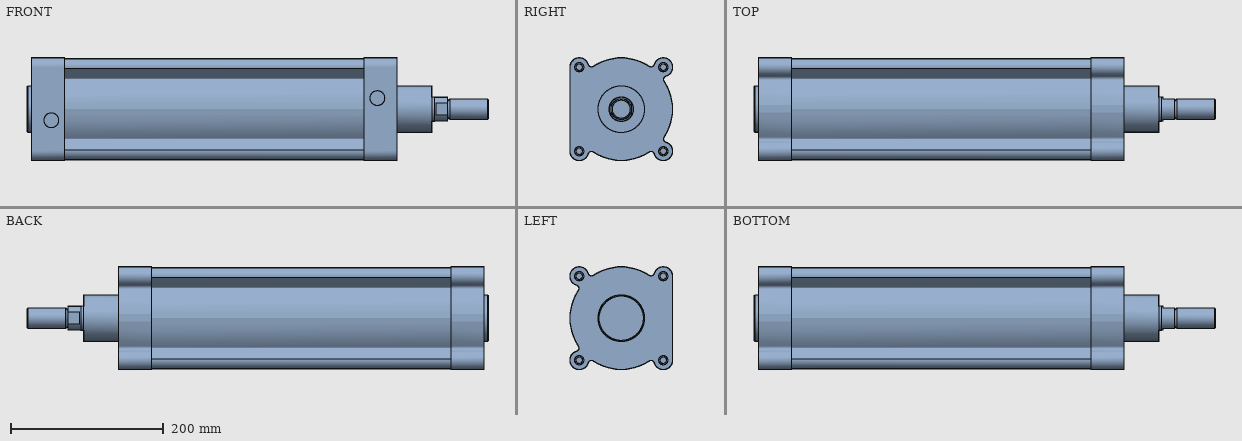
import cadquery as cq
import math


rear_boss_length = 6.0
cap_length = 43.5
barrel_length = 392.0
front_boss_length = 45.5
total_length = 605.0
rear_cap_x = rear_boss_length
barrel_x = rear_cap_x + cap_length
front_cap_x = barrel_x + barrel_length
front_boss_x = front_cap_x + cap_length

corner_offset = 55.0
corner_angles = (45, 135, 225, 315)
corner_distance = corner_offset * math.sqrt(2)
corner_points = [(sy * corner_offset, sz * corner_offset) for sy in (-1, 1) for sz in (-1, 1)]

cap_width = 135.0
cap_half_width = cap_width / 2
cap_radius = 67.0
lug_radius = cap_half_width - corner_offset
lug_fillet = 4.0
pad_base_half_width = 10.0
pad_top_half_width = 5.0
pad_angles = (-90, 0, 180)
boss_radius = 61.0 / 2
rear_boss_chamfer = 1.5
screw_hole_radius = 4.0
screw_recess_radius = 6.0
screw_recess_depth = 12.0
port_radius = 9.5
port_depth = 24.0
port_offset_x = 4.0
port_offset_z = 14.5

barrel_radius = 65.5
ridge_half_width = 8.5
ridge_angles = (0, 90, 180, 270)
rail_radius = 22.5 / 2
rail_half_width = 9.0
rail_root_fillet = 1.0

rod_radius = 32.0 / 2
wrench_radius = 31.5 / 2
wrench_start_x = 534.0
flat_half_width = 27.0 / 2
flat_start_x = 536.0
thread_radius = 27.0 / 2
thread_start_x = 551.0
thread_start_chamfer = 3.0
thread_end_chamfer = 2.0


def plane_at(x):
    """Plane across the axis at x, with local x along +Y and local y along +Z."""
    return cq.Workplane("YZ", origin=(x, 0, 0))


def turned(body, angle):
    """Body turned about the cylinder axis."""
    return body.rotate((0, 0, 0), (1, 0, 0), angle)


def make_lug_web(x):
    """Filleted web along +Y from the round cap body to a lug.

    Each fillet circle touches the cap body and the lug from outside, so its centre
    is the third corner of a triangle with the cap centre and the lug centre.
    """
    body_reach = cap_radius + lug_fillet
    lug_reach = lug_radius + lug_fillet
    along = (body_reach**2 + corner_distance**2 - lug_reach**2) / (2 * corner_distance)
    aside = math.sqrt(body_reach**2 - along**2)
    web = (
        plane_at(x)
        .polyline([(0, 0), (along, aside), (corner_distance, 0), (along, -aside)])
        .close()
        .extrude(cap_length)
    )
    hollows = (
        plane_at(x)
        .pushPoints([(along, aside), (along, -aside)])
        .circle(lug_fillet)
        .extrude(cap_length)
    )
    return web.cut(hollows)


def make_pad(x):
    """Shallow flat-topped pad facing +Z, reaching in to the axis."""
    base_height = math.sqrt(cap_radius**2 - pad_base_half_width**2)
    return (
        plane_at(x)
        .polyline([
            (0, 0),
            (pad_base_half_width, base_height),
            (pad_top_half_width, cap_half_width),
            (-pad_top_half_width, cap_half_width),
            (-pad_base_half_width, base_height),
        ])
        .close()
        .extrude(cap_length)
    )


def cap_blank(x):
    """Round cap with four lugs, a flat port side on -Y and a pad on the other sides."""
    cap = plane_at(x).circle(cap_radius).extrude(cap_length)
    cap = cap.union(plane_at(x).pushPoints(corner_points).circle(lug_radius).extrude(cap_length))

    web = make_lug_web(x)
    for angle in corner_angles:
        cap = cap.union(turned(web, angle))

    pad = make_pad(x)
    for angle in pad_angles:
        cap = cap.union(turned(pad, angle))

    port_side = (
        plane_at(x)
        .center(-cap_half_width / 2, 0)
        .rect(cap_half_width, 2 * corner_offset)
        .extrude(cap_length)
    )
    return cap.union(port_side)


def drill_cap(cap, face_x, direction, port_z):
    """Recessed tie-rod holes from the outer face and a blind port in the flat side.

    The direction is +1 or -1 along X, from the outer face towards the barrel.
    """
    corners = plane_at(face_x).pushPoints(corner_points)
    holes = corners.circle(screw_hole_radius).extrude(direction * cap_length)
    recesses = corners.circle(screw_recess_radius).extrude(direction * screw_recess_depth)
    port_x = face_x + direction * (cap_length / 2 + port_offset_x)
    port = (
        cq.Workplane("XZ", origin=(port_x, -cap_half_width, port_z))
        .circle(port_radius)
        .extrude(-port_depth)
    )
    return cap.cut(holes).cut(recesses).cut(port)


def make_rear_cap():
    boss = plane_at(0).circle(boss_radius).extrude(rear_boss_length)
    boss = boss.faces("<X").chamfer(rear_boss_chamfer)
    cap = cap_blank(rear_cap_x).union(boss)
    return drill_cap(cap, rear_cap_x, 1, -port_offset_z)


def make_front_cap():
    """Front cap with a long boss that the rod runs through."""
    boss = plane_at(front_boss_x).circle(boss_radius).extrude(front_boss_length)
    rod_bore = plane_at(front_cap_x).circle(rod_radius).extrude(cap_length + front_boss_length)
    cap = cap_blank(front_cap_x).union(boss).cut(rod_bore)
    return drill_cap(cap, front_boss_x, -1, port_offset_z)


def make_barrel():
    """Solid round bar with a low ridge on each side and a flat-sided rail at each corner."""
    barrel = plane_at(barrel_x).circle(barrel_radius).extrude(barrel_length)

    ridge_base_height = math.sqrt(barrel_radius**2 - ridge_half_width**2)
    ridge = (
        plane_at(barrel_x)
        .polyline([
            (0, 0),
            (ridge_half_width, ridge_base_height),
            (0, barrel_radius**2 / ridge_base_height),
            (-ridge_half_width, ridge_base_height),
        ])
        .close()
        .extrude(barrel_length)
    )
    for angle in ridge_angles:
        barrel = barrel.union(turned(ridge, angle))

    rail_end = corner_distance + math.sqrt(rail_radius**2 - rail_half_width**2)
    rail = (
        plane_at(barrel_x)
        .moveTo(0, -rail_half_width)
        .lineTo(rail_end, -rail_half_width)
        .threePointArc((corner_distance + rail_radius, 0), (rail_end, rail_half_width))
        .lineTo(0, rail_half_width)
        .close()
        .extrude(barrel_length)
    )
    for angle in corner_angles:
        barrel = barrel.union(turned(rail, angle))

    root_along = math.sqrt(barrel_radius**2 - rail_half_width**2)
    root_points = [
        (barrel_x + barrel_length / 2, root_along, side * rail_half_width) for side in (-1, 1)
    ]
    for angle in corner_angles:
        for point in root_points:
            root = cq.Vertex.makeVertex(*point).rotate((0, 0, 0), (1, 0, 0), angle)
            nearest_edge = cq.selectors.NearestToPointSelector(root.toTuple())
            barrel = barrel.edges("|X").edges(nearest_edge).fillet(rail_root_fillet)
    return barrel


def make_rod():
    """Rod with a slightly thinner wrench section, two wrench flats and a threaded end."""
    shank = plane_at(front_cap_x).circle(rod_radius).extrude(wrench_start_x - front_cap_x)
    wrench = plane_at(wrench_start_x).circle(wrench_radius).extrude(thread_start_x - wrench_start_x)
    flat_length = thread_start_x - flat_start_x
    for side in (-1, 1):
        flat_cut = (
            plane_at(flat_start_x)
            .center(side * (flat_half_width + wrench_radius / 2), 0)
            .rect(wrench_radius, 2 * wrench_radius)
            .extrude(flat_length)
        )
        wrench = wrench.cut(flat_cut)
    thread = (
        plane_at(thread_start_x)
        .circle(thread_radius)
        .extrude(total_length - thread_start_x)
        .faces("<X")
        .chamfer(thread_start_chamfer)
        .faces(">X")
        .chamfer(thread_end_chamfer)
    )
    return shank.union(wrench).union(thread)


rear_cap = make_rear_cap()
barrel = make_barrel()
front_cap = make_front_cap()
rod = make_rod()

result = cq.Compound.makeCompound([rear_cap.val(), barrel.val(), front_cap.val(), rod.val()])